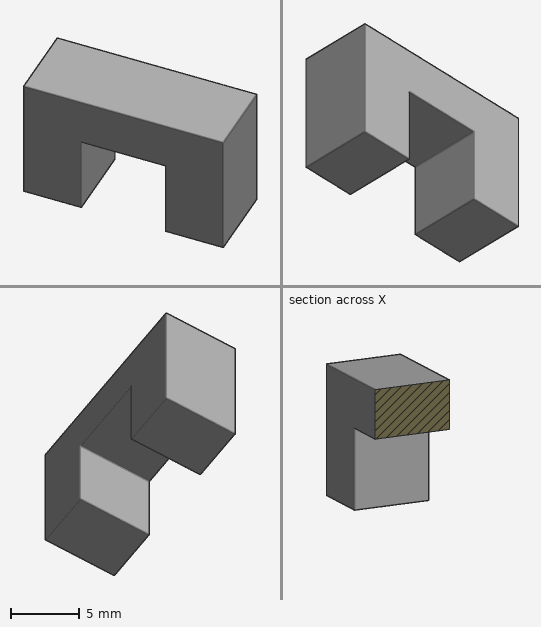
import cadquery as cq

length = 16.0
depth = 6.1
height = 10.0

slot_width = 6.7
slot_height = 6.2

edge_radius = 0.05

block = cq.Workplane("XY").box(length, depth, height, centered=(True, True, False))
slot = cq.Workplane("XY").box(slot_width, depth, slot_height, centered=(True, True, False))

result = block.cut(slot).edges().fillet(edge_radius)